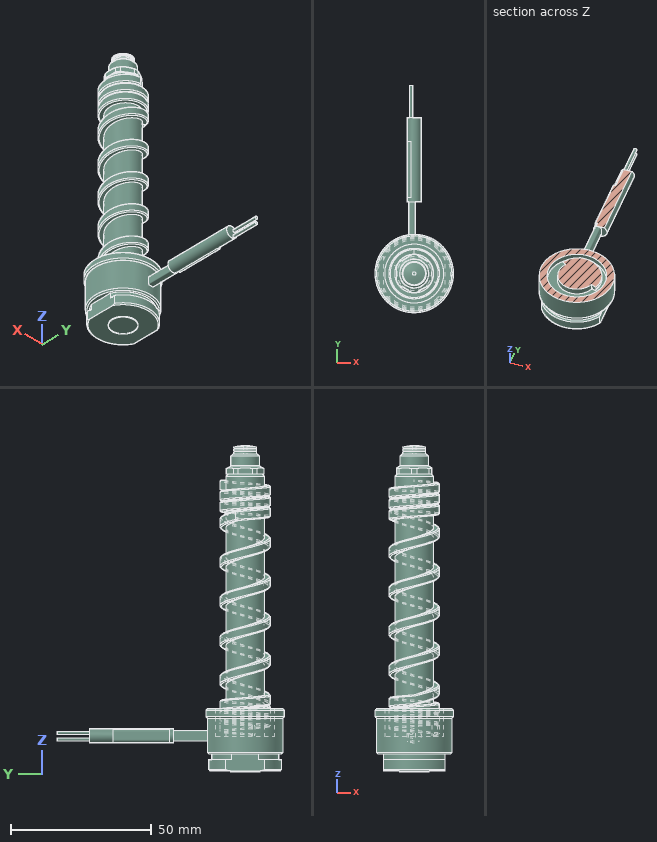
import cadquery as cq
import math

OVERALL_HEIGHT = 116.2

PAD_DIAMETER = 10.6
PAD_HEIGHT = 0.35
NUT_DIAMETER = 26.0
NUT_TOP = 4.3
NUT_CHAMFER = 0.5
NECK_DIAMETER = 24.0
FLATS_WIDTH = 22.0

BODY_DIAMETER = 27.0
BODY_BOTTOM = 6.3
BODY_CHAMFER = 0.6
COLLAR_DIAMETER = 28.0
COLLAR_BOTTOM = 19.0
COLLAR_TOP = 22.5
COLLAR_CHAMFER = 0.6
CUP_DIAMETER = 21.0
CUP_FLOOR = 12.5

SHAFT_DIAMETER = 13.8
SHAFT_TOP = 106.0
SHAFT_CHAMFER = 0.8
HEX_ACROSS_FLATS = 12.5
HEX_CORNER_DIAMETER = 13.5
HEX_TOP = 108.9
HEX_CHAMFER_ANGLE = 30.0
STEM_RELIEF_DIAMETER = 10.2
STEM_RELIEF_TOP = 109.1
STEM_DIAMETER = 10.3
STEM_TOP = 113.2
STEM_CHAMFER = 0.85
TIP_DIAMETER = 8.2
DOME_HEIGHT = 0.6
GROOVE_PITCH = 1.0
GROOVE_COUNT = 2
GROOVE_DEPTH = 0.08
TIP_HOLE_DIAMETER = 1.2
TIP_HOLE_DEPTH = 3.0

SPRING_DIAMETER = 18.0
WIRE_HEIGHT = 3.6
WIRE_CHAMFER = 0.45
WIRE_EMBED = 0.5
SPRING_TOP = 103.85
SPRING_END_ANGLE = 90.0
CLOSED_TURNS = 2.8125
CLOSED_PITCH = 3.85
OPEN_TURNS = 4.6875
OPEN_PITCH = 14.0
SPRING_SECTIONS = [
    (CLOSED_TURNS, CLOSED_PITCH),
    (OPEN_TURNS, OPEN_PITCH),
    (CLOSED_TURNS, CLOSED_PITCH),
]
SPRING_TURNS = sum(turns for turns, pitch in SPRING_SECTIONS)
SPRING_RISE = sum(turns * pitch for turns, pitch in SPRING_SECTIONS)
SPRING_BOTTOM = SPRING_TOP - WIRE_HEIGHT - SPRING_RISE

CABLE_Z = 12.8
CABLE_X = -0.8
CABLE_WIDTH = 2.4
CABLE_HEIGHT = 3.8
CABLE_TOP_FILLET = 0.7
CABLE_BOTTOM_FILLET = 0.3
SLEEVE_DIAMETER = 5.1
SLEEVE_START = 25.5
SLEEVE_LENGTH = 30.0
CLAMP_START = 27.0
CLAMP_LENGTH = 20.0
CLAMP_HEIGHT = 4.6
CLAMP_FILLET = 0.9
LEAD_X = -1.1
LEAD_Z = 12.65
LEAD_DIAMETER = 1.2
LEAD_SPACING = 2.3
LEAD_END = 67.0


def cylinder(diameter, bottom, top):
    return cq.Workplane("XY").workplane(offset=bottom).circle(diameter / 2).extrude(top - bottom)


def bar_along_y(x, z, start):
    """Workplane facing +Y whose local axes are world -X and Z."""
    return cq.Workplane(cq.Plane((x, start, z), (-1, 0, 0), (0, 1, 0)))


def make_base():
    pad = cylinder(PAD_DIAMETER, 0, PAD_HEIGHT)
    nut = cylinder(NUT_DIAMETER, PAD_HEIGHT, NUT_TOP).faces("<Z").chamfer(NUT_CHAMFER)
    neck = cylinder(NECK_DIAMETER, NUT_TOP, BODY_BOTTOM)
    flats = cq.Workplane("XY").rect(FLATS_WIDTH, NUT_DIAMETER).extrude(BODY_BOTTOM)
    body = cylinder(BODY_DIAMETER, BODY_BOTTOM, COLLAR_BOTTOM).faces("<Z").chamfer(BODY_CHAMFER)
    collar = cylinder(COLLAR_DIAMETER, COLLAR_BOTTOM, COLLAR_TOP).edges().chamfer(COLLAR_CHAMFER)
    cup = cylinder(CUP_DIAMETER, CUP_FLOOR, COLLAR_TOP)
    return nut.union(neck).intersect(flats).union(pad).union(body).union(collar).cut(cup)


def make_hex():
    corner_radius = HEX_CORNER_DIAMETER / 2
    stem_radius = STEM_RELIEF_DIAMETER / 2
    chamfer_drop = (corner_radius - stem_radius) * math.tan(math.radians(HEX_CHAMFER_ANGLE))
    turned_blank = (
        cq.Workplane("XZ")
        .moveTo(0, SHAFT_TOP)
        .lineTo(corner_radius, SHAFT_TOP)
        .lineTo(corner_radius, HEX_TOP - chamfer_drop)
        .lineTo(stem_radius, HEX_TOP)
        .lineTo(0, HEX_TOP)
        .close()
        .revolve()
    )
    prism = (
        cq.Workplane("XY")
        .workplane(offset=SHAFT_TOP)
        .polygon(6, HEX_ACROSS_FLATS, circumscribed=True)
        .extrude(HEX_TOP - SHAFT_TOP)
    )
    return turned_blank.intersect(prism)


def make_tip():
    radius = TIP_DIAMETER / 2
    rim = OVERALL_HEIGHT - DOME_HEIGHT
    dome_radius = (radius ** 2 + DOME_HEIGHT ** 2) / (2 * DOME_HEIGHT)
    half_radius = radius / 2
    half_height = OVERALL_HEIGHT - dome_radius + math.sqrt(dome_radius ** 2 - half_radius ** 2)
    tip = (
        cq.Workplane("XZ")
        .moveTo(0, STEM_TOP)
        .lineTo(radius, STEM_TOP)
        .lineTo(radius, rim)
        .threePointArc((half_radius, half_height), (0, OVERALL_HEIGHT))
        .close()
        .revolve()
    )
    for index in range(GROOVE_COUNT):
        groove_z = rim - (index + 0.5) * GROOVE_PITCH
        groove = (
            cq.Workplane("XZ")
            .moveTo(radius - GROOVE_DEPTH, groove_z)
            .lineTo(radius, groove_z + GROOVE_PITCH / 2)
            .lineTo(radius, groove_z - GROOVE_PITCH / 2)
            .close()
            .revolve(360, (0, 0, 0), (0, 1, 0))
        )
        tip = tip.cut(groove)
    return tip.cut(cylinder(TIP_HOLE_DIAMETER, OVERALL_HEIGHT - TIP_HOLE_DEPTH, OVERALL_HEIGHT))


def make_shaft():
    shaft = cylinder(SHAFT_DIAMETER, BODY_BOTTOM, SHAFT_TOP).faces(">Z").chamfer(SHAFT_CHAMFER)
    relief = cylinder(STEM_RELIEF_DIAMETER, HEX_TOP, STEM_RELIEF_TOP)
    stem = cylinder(STEM_DIAMETER, STEM_RELIEF_TOP, STEM_TOP).faces(">Z").chamfer(STEM_CHAMFER)
    return shaft.union(make_hex()).union(relief).union(stem).union(make_tip())


def make_coils(turns, pitch):
    """Coils starting on +X with the wire's underside at Z = 0."""
    inner = SHAFT_DIAMETER / 2 - WIRE_EMBED
    outer = SPRING_DIAMETER / 2
    helix = cq.Wire.makeHelix(pitch, turns * pitch, outer)
    return (
        cq.Workplane("XZ")
        .moveTo(inner, 0)
        .lineTo(outer - WIRE_CHAMFER, 0)
        .lineTo(outer, WIRE_CHAMFER)
        .lineTo(outer, WIRE_HEIGHT - WIRE_CHAMFER)
        .lineTo(outer - WIRE_CHAMFER, WIRE_HEIGHT)
        .lineTo(inner, WIRE_HEIGHT)
        .close()
        .sweep(cq.Workplane(helix), isFrenet=True)
    )


def add_spring(part):
    turn = SPRING_END_ANGLE / 360 - SPRING_TURNS
    height = SPRING_BOTTOM
    for turns, pitch in SPRING_SECTIONS:
        coils = make_coils(turns, pitch).rotate((0, 0, 0), (0, 0, 1), 360 * turn)
        part = part.union(coils.translate((0, 0, height)))
        turn += turns
        height += turns * pitch
    return part


def make_cable():
    body_radius = BODY_DIAMETER / 2
    cable_start = (body_radius + CUP_DIAMETER / 2) / 2
    cable = (
        bar_along_y(CABLE_X, CABLE_Z, cable_start)
        .rect(CABLE_WIDTH, CABLE_HEIGHT)
        .extrude(SLEEVE_START - cable_start)
        .edges("|Y and >Z")
        .fillet(CABLE_TOP_FILLET)
        .edges("|Y and <Z")
        .fillet(CABLE_BOTTOM_FILLET)
    )
    sleeve = bar_along_y(0, CABLE_Z, SLEEVE_START).circle(SLEEVE_DIAMETER / 2).extrude(SLEEVE_LENGTH)
    clamp = (
        bar_along_y(-SLEEVE_DIAMETER / 4, CABLE_Z, CLAMP_START)
        .rect(SLEEVE_DIAMETER / 2, CLAMP_HEIGHT)
        .extrude(CLAMP_LENGTH)
        .edges("|Y and <X")
        .fillet(CLAMP_FILLET)
    )
    sleeve_end = SLEEVE_START + SLEEVE_LENGTH
    leads = (
        bar_along_y(LEAD_X, LEAD_Z, sleeve_end)
        .rarray(1, LEAD_SPACING, 1, 2)
        .circle(LEAD_DIAMETER / 2)
        .extrude(LEAD_END - sleeve_end)
    )
    return cable.union(sleeve).union(clamp).union(leads)


result = add_spring(make_base().union(make_shaft()).union(make_cable()))